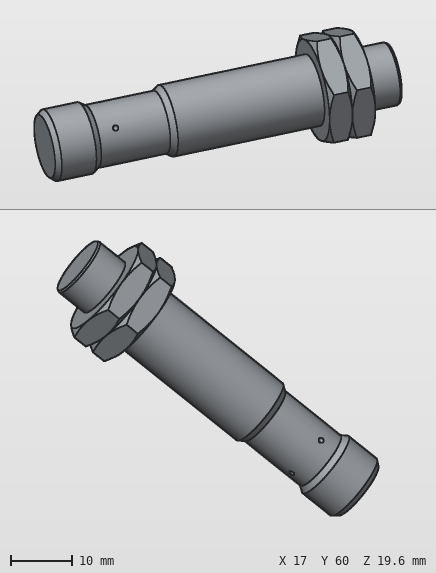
import cadquery as cq
import math

length = 60.0
barrel_radius = 6.0
neck_radius = 5.3
front_chamfer_length = 0.9
collar_end = 6.9
shoulder_length = 1.1
neck_start = collar_end + shoulder_length
barrel_start = 21.0
neck_end = barrel_start - shoulder_length
tip_chamfer_length = 0.35
tip_chamfer_height = 0.2

nut_across_flats = 17.0
nut_thickness = 3.95
nut_count = 2
nut_start = 46.3
nut_end = nut_start + nut_count * nut_thickness
nut_chamfer_angle = 30.0

ball_diameter = 0.9
ball_y = 11.0
dimple_count = 4
first_dimple_angle = 45.0


def make_barrel():
    """Revolve the stepped half-profile; the tip behind the nuts has the neck radius."""
    profile = [
        (0, 0),
        (neck_radius, 0),
        (barrel_radius, front_chamfer_length),
        (barrel_radius, collar_end),
        (neck_radius, neck_start),
        (neck_radius, neck_end),
        (barrel_radius, barrel_start),
        (barrel_radius, nut_end),
        (neck_radius, nut_end),
        (neck_radius, length - tip_chamfer_length),
        (neck_radius - tip_chamfer_height, length),
        (0, length),
    ]
    return cq.Workplane("XY").polyline(profile).close().revolve(360, (0, 0), (0, 1))


def make_nut(start):
    """Hexagonal nut whose corners are cut back by a cone at both faces."""
    face_radius = nut_across_flats / 2
    corner_radius = face_radius / math.cos(math.radians(30))
    chamfer_length = (corner_radius - face_radius) * math.tan(math.radians(nut_chamfer_angle))
    end = start + nut_thickness
    hexagon = (
        cq.Workplane("XZ", origin=(0, start, 0))
        .transformed(rotate=(0, 0, 90))
        .polygon(6, 2 * corner_radius)
        .extrude(-nut_thickness)
    )
    envelope = [
        (0, start),
        (face_radius, start),
        (corner_radius, start + chamfer_length),
        (corner_radius, end - chamfer_length),
        (face_radius, end),
        (0, end),
    ]
    cone_cut = cq.Workplane("XY").polyline(envelope).close().revolve(360, (0, 0), (0, 1))
    return hexagon.intersect(cone_cut)


def make_dimple_ball(angle):
    """Ball centred on the neck surface at the given angle around the axis."""
    ball = cq.Workplane("XY", origin=(0, ball_y, neck_radius)).sphere(ball_diameter / 2)
    return ball.rotate((0, 0, 0), (0, 1, 0), angle)


result = make_barrel()
for index in range(nut_count):
    result = result.union(make_nut(nut_start + index * nut_thickness))
for index in range(dimple_count):
    result = result.cut(make_dimple_ball(first_dimple_angle + index * 360 / dimple_count))